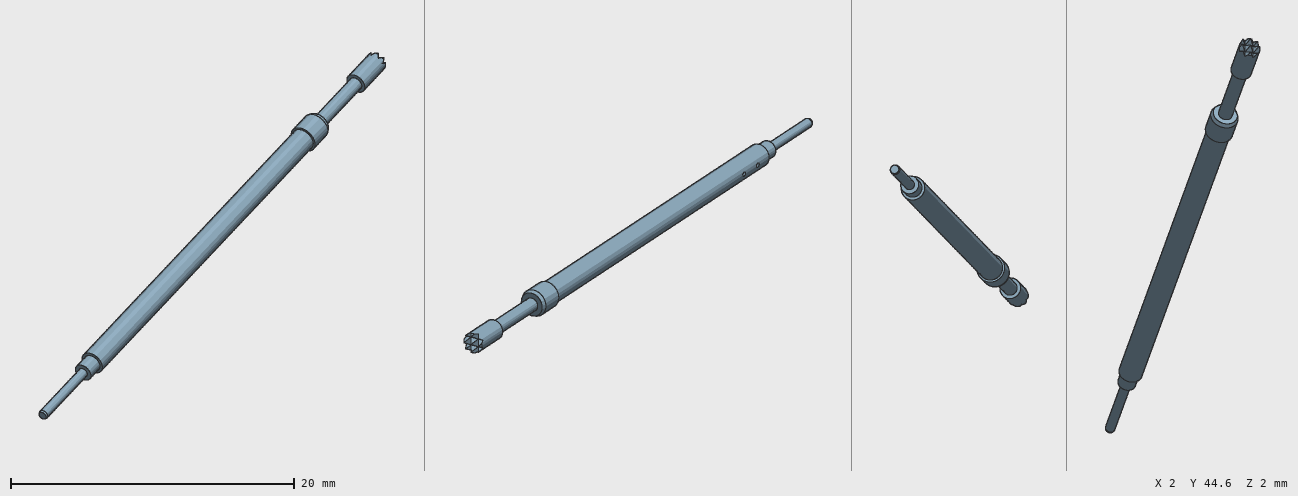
import cadquery as cq

total_length = 44.6

head_diameter = 1.5
shaft_diameter = 1.0
collar_diameter = 2.0
collar_lip_diameter = 1.75
barrel_diameter = 1.7
neck_diameter = 1.3
tail_diameter = 0.7

head_end = 3.0
collar_start = 8.0
collar_end = 10.0
barrel_end = 38.0
neck_end = 39.2

collar_bevel_length = 0.3
tail_chamfer_length = 0.15
tail_chamfer_width = 0.05

tooth_pitch = 0.6
tooth_depth = 0.48
grooves_per_side = 2

dimple_diameter = 0.35
dimple_depth = 0.15
dimple_distances = (34.72, 36.52)

head_tip_y = total_length / 2


def y_at(distance):
    """Y position at a distance from the crown tips."""
    return head_tip_y - distance


def make_turned_body():
    """Revolve the stepped half profile about the Y axis."""
    head_radius = head_diameter / 2
    shaft_radius = shaft_diameter / 2
    collar_radius = collar_diameter / 2
    barrel_radius = barrel_diameter / 2
    neck_radius = neck_diameter / 2
    tail_radius = tail_diameter / 2
    profile = [
        (0, y_at(0)),
        (head_radius, y_at(0)),
        (head_radius, y_at(head_end)),
        (shaft_radius, y_at(head_end)),
        (shaft_radius, y_at(collar_start)),
        (collar_lip_diameter / 2, y_at(collar_start)),
        (collar_radius, y_at(collar_start + collar_bevel_length)),
        (collar_radius, y_at(collar_end)),
        (barrel_radius, y_at(collar_end)),
        (barrel_radius, y_at(barrel_end)),
        (neck_radius, y_at(barrel_end)),
        (neck_radius, y_at(neck_end)),
        (tail_radius, y_at(neck_end)),
        (tail_radius, y_at(total_length - tail_chamfer_length)),
        (tail_radius - tail_chamfer_width, y_at(total_length)),
        (0, y_at(total_length)),
    ]
    return cq.Workplane("XY").polyline(profile).close().revolve(360, (0, 0, 0), (0, 1, 0))


def cut_crown(body):
    """Cut V grooves along X and Z across the head face, with one tooth on the axis."""
    half_pitch = tooth_pitch / 2
    groove = (
        cq.Workplane("XY")
        .polyline([
            (-half_pitch, y_at(0)),
            (half_pitch, y_at(0)),
            (0, y_at(tooth_depth)),
        ])
        .close()
        .extrude(head_diameter, both=True)
    )
    for index in range(grooves_per_side):
        offset = half_pitch + index * tooth_pitch
        for side in (-1, 1):
            groove_along_z = groove.translate((side * offset, 0, 0))
            groove_along_x = groove_along_z.rotate((0, 0, 0), (0, 1, 0), 90)
            body = body.cut(groove_along_z).cut(groove_along_x)
    return body


def cut_dimples(body):
    """Press conical dimples into the -X side of the barrel."""
    for distance in dimple_distances:
        mouth = cq.Vector(-barrel_diameter / 2, y_at(distance), 0)
        dimple = cq.Solid.makeCone(dimple_diameter / 2, 0, dimple_depth, mouth, cq.Vector(1, 0, 0))
        body = body.cut(cq.Workplane(obj=dimple))
    return body


result = cut_dimples(cut_crown(make_turned_body()))